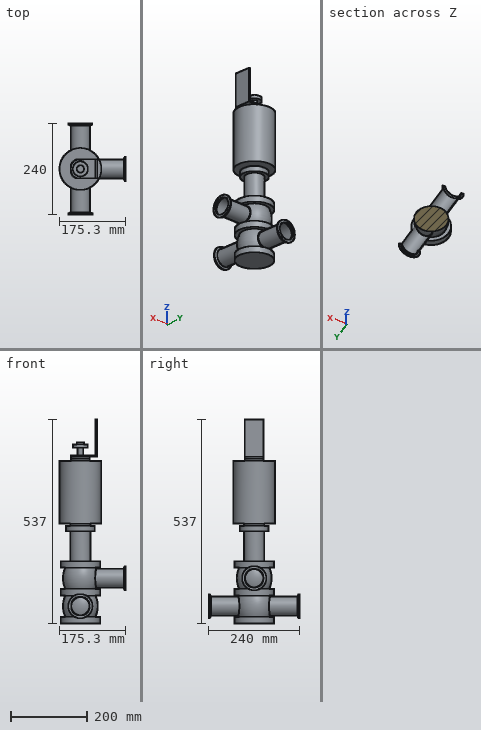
import cadquery as cq

FLANGE_DIA = 105.0
FLANGE_HEIGHT = 17.5
TOP_FLANGE_HEIGHT = 17.0
CHAMBER_HEIGHT = 56.0
CHAMBER_END_DIA = 80.0
CHAMBER_MID_DIA = 92.5

LOWER_CHAMBER_Z = FLANGE_HEIGHT
MIDDLE_FLANGE_Z = LOWER_CHAMBER_Z + CHAMBER_HEIGHT
UPPER_CHAMBER_Z = MIDDLE_FLANGE_Z + FLANGE_HEIGHT
TOP_FLANGE_Z = UPPER_CHAMBER_Z + CHAMBER_HEIGHT
COLUMN_Z = TOP_FLANGE_Z + TOP_FLANGE_HEIGHT

PIPE_DIA = 51.0
BORE_DIA = 48.0
FERRULE_DIA = 64.0
FERRULE_RIM = 3.0
FERRULE_TAPER = 3.0
PORT_REACH = 240.0 / 2

COLUMN_DIA = 54.0
COLLAR_DIA = 76.0
COLLAR_Z = 242.0
COLLAR_HEIGHT = 14.5
ACTUATOR_DIA = 110.5
ACTUATOR_Z = 263.0
ACTUATOR_TOP_Z = 428.0

NECK_DIA = 50.0
SEAM_Z = 433.5
PLATE_Z = 439.5

STEM_DIA = 16.0
HEAD_DIA = 40.0
HEAD_Z = 462.0
HEAD_HEIGHT = 9.5
BUTTON_DIA = 19.5
BUTTON_HEIGHT = 6.0
PLATE_WIDTH = NECK_DIA
PLATE_THICKNESS = 4.0
PLATE_CORNER_DIA = 54.0
UPRIGHT_OUTER_X = 44.5
UPRIGHT_THICKNESS = 5.0
UPRIGHT_TOP_Z = 537.0


def disc(diameter, bottom_z, top_z):
    """Solid cylinder on the Z axis between two heights."""
    return cq.Workplane("XY", origin=(0, 0, bottom_z)).circle(diameter / 2).extrude(top_z - bottom_z)


def chamber(bottom_z):
    """Barrel with an arc profile, revolved about the Z axis."""
    top_z = bottom_z + CHAMBER_HEIGHT
    end_radius = CHAMBER_END_DIA / 2
    return (
        cq.Workplane("XZ")
        .moveTo(0, bottom_z)
        .lineTo(end_radius, bottom_z)
        .threePointArc((CHAMBER_MID_DIA / 2, bottom_z + CHAMBER_HEIGHT / 2), (end_radius, top_z))
        .lineTo(0, top_z)
        .close()
        .revolve(360, (0, 0), (0, 1))
    )


def port(chamber_z, angle):
    """Pipe from a chamber with a tapered ferrule; its bore ends on the chamber wall."""
    taper_start = PORT_REACH - FERRULE_RIM - FERRULE_TAPER
    pipe = (
        cq.Workplane("XY")
        .lineTo(0, PIPE_DIA / 2)
        .lineTo(taper_start, PIPE_DIA / 2)
        .lineTo(PORT_REACH - FERRULE_RIM, FERRULE_DIA / 2)
        .lineTo(PORT_REACH, FERRULE_DIA / 2)
        .lineTo(PORT_REACH, 0)
        .close()
        .revolve(360, (0, 0), (1, 0))
    )
    bore = cq.Workplane("YZ").circle(BORE_DIA / 2).extrude(PORT_REACH)
    center_z = chamber_z + CHAMBER_HEIGHT / 2
    tube = pipe.cut(bore).translate((0, 0, center_z))
    return tube.rotate((0, 0, 0), (0, 0, 1), angle).cut(chamber(chamber_z))


def make_valve():
    """Flanged chambers, ports, column, actuator and the lower half of the neck."""
    valve = disc(FLANGE_DIA, 0, FLANGE_HEIGHT)
    valve = valve.union(chamber(LOWER_CHAMBER_Z))
    valve = valve.union(disc(FLANGE_DIA, MIDDLE_FLANGE_Z, UPPER_CHAMBER_Z))
    valve = valve.union(chamber(UPPER_CHAMBER_Z))
    valve = valve.union(disc(FLANGE_DIA, TOP_FLANGE_Z, COLUMN_Z))
    valve = valve.union(disc(COLUMN_DIA, COLUMN_Z, ACTUATOR_Z))
    valve = valve.union(disc(COLLAR_DIA, COLLAR_Z, COLLAR_Z + COLLAR_HEIGHT))
    valve = valve.union(disc(ACTUATOR_DIA, ACTUATOR_Z, ACTUATOR_TOP_Z))
    valve = valve.union(disc(NECK_DIA, ACTUATOR_TOP_Z, SEAM_Z))
    for chamber_z, angle in ((UPPER_CHAMBER_Z, 0), (LOWER_CHAMBER_Z, 90), (LOWER_CHAMBER_Z, -90)):
        valve = valve.union(port(chamber_z, angle))
    return valve


def angle_plate():
    """L-shaped plate whose corners on the -X end are trimmed to an arc about the Z axis."""
    end_x = -PLATE_WIDTH / 2
    length = UPRIGHT_OUTER_X - end_x
    foot = cq.Workplane("XY", origin=(end_x, 0, PLATE_Z)).box(
        length, PLATE_WIDTH, PLATE_THICKNESS, centered=(False, True, False)
    )
    round_end = disc(PLATE_CORNER_DIA, PLATE_Z, PLATE_Z + PLATE_THICKNESS)
    straight_end = cq.Workplane("XY", origin=(0, 0, PLATE_Z)).box(
        UPRIGHT_OUTER_X, PLATE_WIDTH, PLATE_THICKNESS, centered=(False, True, False)
    )
    foot = foot.intersect(round_end.union(straight_end))
    upright = cq.Workplane("XY", origin=(UPRIGHT_OUTER_X - UPRIGHT_THICKNESS, 0, PLATE_Z)).box(
        UPRIGHT_THICKNESS, PLATE_WIDTH, UPRIGHT_TOP_Z - PLATE_Z, centered=(False, True, False)
    )
    return foot.union(upright)


def make_indicator():
    """Upper half of the neck with the angle plate, stem and head."""
    head_top_z = HEAD_Z + HEAD_HEIGHT
    indicator = disc(NECK_DIA, SEAM_Z, PLATE_Z).union(angle_plate())
    indicator = indicator.union(disc(STEM_DIA, PLATE_Z, HEAD_Z))
    indicator = indicator.union(disc(HEAD_DIA, HEAD_Z, head_top_z))
    return indicator.union(disc(BUTTON_DIA, head_top_z, head_top_z + BUTTON_HEIGHT))


valve = make_valve()
indicator = make_indicator()
result = cq.Compound.makeCompound([valve.val(), indicator.val()])